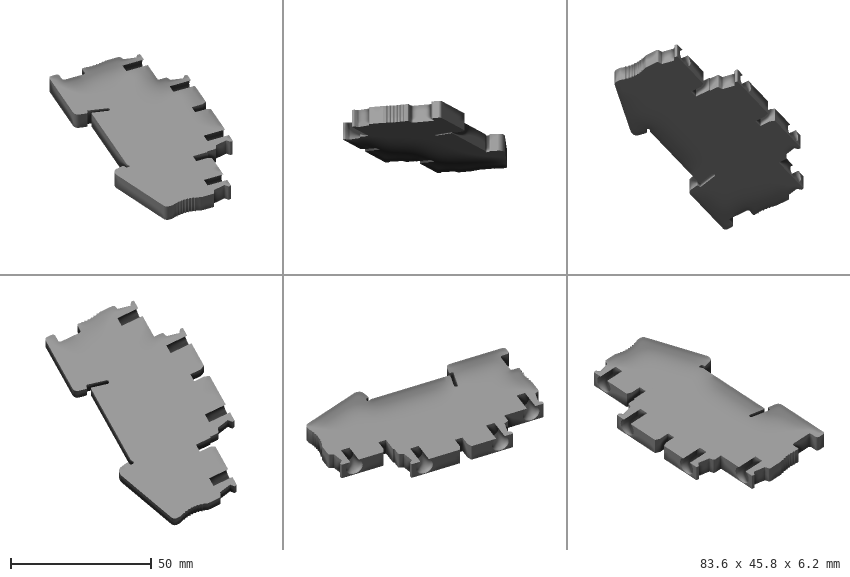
import cadquery as cq
import math

length = 83.6
height = 45.8
thickness = 6.2

lower_deck_y = 35.1
upper_left_x = 17.4
upper_right_x = 61.0
clip_rise = 7.3
lower_shoulder_y = lower_deck_y - clip_rise
upper_shoulder_y = height - clip_rise

clip_profile = [(0, 0), (1.8, 0.7), (2.85, 5.2), (1.5, 6.3), (1.7, clip_rise)]
clip_tip_radius = 0.25
clip_shoulder_radius = 0.75

marker_width = 3.0
marker_depth = 5.85
marker_lead_in = 0.75
marker_lead_in_depth = 1.75
upper_marker_x = 36.3
lower_marker_x = 61.45

foot_height = 3.9
notch_x = 3.85
notch_top_y = 12.8
foot_radius = 1.0
notch_lower_radius = 0.8
notch_upper_radius = 0.7
notch_lip_radius = 0.4

seat_y = 5.85
seat_edge_radius = 0.3
seat_end_x = 56.0
left_hook_x = 24.25
right_hook_x = 56.35
hook_lip_y = 4.6
hook_lip_rise = 0.3
hook_nose_y = 4.0
hook_nose_lean = 0.8
hook_nose_radius = 1.9
undercut_x = 57.7
undercut_y = 6.6
undercut_radius = 0.4

slot_angle = math.radians(13.5)
slot_left_x = 22.9
slot_bottom_y = 5.0
slot_right_x = 24.6
slot_top_y = 12.0
slot_end_rise = 0.75

slope_start_x = 59.6
slope_angle = math.radians(20.5)
slope_start_radius = 0.8
slope_end_radius = 1.8

left_grip_radius = 18.4
left_grip_depth = 0.8
left_grip_y = 16.8
left_rib_count = 6
left_rib_pitch = 1.25
left_rib_start_y = 14.7
right_grip_radius = 12.9
right_grip_depth = 1.25
right_grip_y = 17.1
right_grip_blend = 1.7
right_rib_count = 7
right_rib_pitch = 1.2
right_rib_start_y = 13.6
rib_width = 0.6
rib_height = 0.3

groove_radius = 3.1
groove_mouth = 3.35
groove_flat = 0.4
groove_length = 8.4
short_groove_length = 7.6
lower_left_groove_x = 6.7
upper_left_groove_x = 24.1
upper_right_groove_x = 54.2
lower_right_groove_x = 76.8


def left_clip(shoulder_x, shoulder_y):
    """Latch recess on a left end, from shoulder up to deck."""
    return [(shoulder_x + dx, shoulder_y + dy) for dx, dy in clip_profile]


def right_clip(shoulder_x, shoulder_y):
    """Latch recess on a right end, from deck down to shoulder."""
    return [(shoulder_x - dx, shoulder_y + dy) for dx, dy in reversed(clip_profile)]


def lead_in(wall_x, deck_y, side):
    """Bevel at a marker slot mouth: deck point, then wall point; side is -1 for left, +1 for right."""
    return [
        (wall_x + side * marker_lead_in, deck_y),
        (wall_x, deck_y - marker_lead_in_depth),
    ]


def along_slot(x, y, new_y):
    """X reached at new_y on a line through (x, y) parallel to the spring slot."""
    return x + (new_y - y) * math.tan(slot_angle)


def slope_y(x):
    return (x - slope_start_x) * math.tan(slope_angle)


def make_body():
    slot_upper_left = (along_slot(slot_left_x, slot_bottom_y, slot_top_y), slot_top_y)
    slot_upper_right = (along_slot(slot_right_x, seat_y, slot_top_y), slot_top_y)
    slot_end = (
        (slot_upper_left[0] + slot_upper_right[0]) / 2,
        slot_top_y + slot_end_rise,
    )
    upper_marker_right = upper_marker_x + marker_width
    lower_marker_right = lower_marker_x + marker_width
    upper_points = (
        [(0, foot_height), (notch_x, foot_height), (notch_x, notch_top_y), (0, notch_top_y)]
        + left_clip(0, lower_shoulder_y)
        + [(upper_left_x, lower_deck_y)]
        + left_clip(upper_left_x, upper_shoulder_y)
        + lead_in(upper_marker_x, height, -1)
        + [(upper_marker_x, height - marker_depth), (upper_marker_right, height - marker_depth)]
        + lead_in(upper_marker_right, height, 1)[::-1]
        + right_clip(upper_right_x, upper_shoulder_y)
        + [(upper_right_x, lower_deck_y), (lower_marker_x, lower_deck_y)]
        + [(lower_marker_x, lower_deck_y - marker_depth)]
        + [(lower_marker_right, lower_deck_y - marker_depth)]
        + lead_in(lower_marker_right, lower_deck_y, 1)[::-1]
        + right_clip(length, lower_shoulder_y)
        + [(length, slope_y(length)), (slope_start_x, 0)]
    )
    outline = cq.Workplane("XY").moveTo(0, 0)
    for point in upper_points:
        outline = outline.lineTo(*point)
    outline = (
        outline.lineTo(right_hook_x + hook_nose_lean, 0)
        .lineTo(right_hook_x, hook_nose_y)
        .lineTo(right_hook_x, hook_lip_y)
        .lineTo(undercut_x, hook_lip_y + hook_lip_rise)
        .lineTo(undercut_x, undercut_y)
        .lineTo(seat_end_x, seat_y)
        .lineTo(slot_right_x, seat_y)
        .lineTo(*slot_upper_right)
        .threePointArc(slot_end, slot_upper_left)
        .lineTo(slot_left_x, slot_bottom_y)
        .lineTo(left_hook_x, hook_lip_y)
        .lineTo(left_hook_x, hook_nose_y)
        .lineTo(left_hook_x - hook_nose_lean, 0)
        .close()
    )
    return outline.extrude(thickness)


def round_corner(body, x, y, radius):
    """Round the upright edge of the plate nearest to (x, y)."""
    corner = cq.selectors.NearestToPointSelector((x, y, thickness / 2))
    return body.edges("|Z").edges(corner).fillet(radius)


def grip_cutter(center_x, center_y, radius):
    return cq.Workplane("XY").center(center_x, center_y).circle(radius).extrude(thickness)


def grip_ribs(center_x, center_y, radius, side, start_y, pitch, count):
    """Triangular ribs on a grip arc, pointing at its center; side is +1 (left end) or -1 (right end)."""
    ribs = cq.Workplane("XY")
    inner = radius - rib_height
    half_angle = rib_width / 2 / radius
    for index in range(count):
        angle = math.asin((start_y + index * pitch - center_y) / radius)
        corners = []
        for turn, reach in ((-half_angle, radius), (0, inner), (half_angle, radius)):
            corners.append((
                center_x + side * reach * math.cos(angle + turn),
                center_y + reach * math.sin(angle + turn),
            ))
        root_x = center_x + side * (radius + rib_height) * math.cos(angle)
        root_y = center_y + (radius + rib_height) * math.sin(angle)
        corners.append((root_x, root_y))
        ribs = ribs.add(cq.Workplane("XY").polyline(corners).close().extrude(thickness))
    return ribs.combine()


def make_groove(center_x, deck_y, run):
    """Rounded bore along Y whose top breaks out through the top face as a narrow mouth."""
    half_mouth_on_arc = (groove_mouth - groove_flat) / 2
    axis_z = thickness - math.sqrt(groove_radius**2 - half_mouth_on_arc**2)
    bore_length = 2 * groove_radius + groove_flat
    return (
        cq.Workplane("XZ", origin=(center_x, deck_y, axis_z))
        .slot2D(bore_length, 2 * groove_radius)
        .extrude(run)
    )


body = make_body()

for x, y, radius in (
    (0, 0, foot_radius),
    (0, foot_height, foot_radius),
    (notch_x, foot_height, notch_lower_radius),
    (notch_x, notch_top_y, notch_upper_radius),
    (slot_right_x, seat_y, seat_edge_radius),
    (undercut_x, undercut_y, undercut_radius),
    (left_hook_x - hook_nose_lean, 0, hook_nose_radius),
    (right_hook_x + hook_nose_lean, 0, hook_nose_radius),
    (slope_start_x, 0, slope_start_radius),
    (length, slope_y(length), slope_end_radius),
):
    body = round_corner(body, x, y, radius)

for corners in (
    left_clip(0, lower_shoulder_y),
    left_clip(upper_left_x, upper_shoulder_y),
    right_clip(upper_right_x, upper_shoulder_y)[::-1],
    right_clip(length, lower_shoulder_y)[::-1],
):
    shoulder, *_, tip_bottom, tip_top = corners
    body = round_corner(body, *shoulder, clip_shoulder_radius)
    for tip in (tip_bottom, tip_top):
        body = round_corner(body, *tip, clip_tip_radius)

left_grip_x = left_grip_depth - left_grip_radius
right_grip_x = length - right_grip_depth + right_grip_radius
body = body.cut(grip_cutter(left_grip_x, left_grip_y, left_grip_radius))
body = body.cut(grip_cutter(right_grip_x, right_grip_y, right_grip_radius))
left_grip_end_x = left_grip_x + math.sqrt(left_grip_radius**2 - (left_grip_y - notch_top_y) ** 2)
body = round_corner(body, left_grip_end_x, notch_top_y, notch_lip_radius)
right_grip_half = math.sqrt(right_grip_radius**2 - (right_grip_radius - right_grip_depth)**2)
for end in (-1, 1):
    body = round_corner(body, length, right_grip_y + end * right_grip_half, right_grip_blend)
body = body.union(grip_ribs(
    left_grip_x, left_grip_y, left_grip_radius, 1, left_rib_start_y, left_rib_pitch, left_rib_count))
body = body.union(grip_ribs(
    right_grip_x, right_grip_y, right_grip_radius, -1, right_rib_start_y, right_rib_pitch, right_rib_count))

for x, deck_y, run in (
    (lower_left_groove_x, lower_deck_y, groove_length),
    (upper_left_groove_x, height, groove_length),
    (upper_right_groove_x, height, groove_length),
    (lower_right_groove_x, lower_deck_y, short_groove_length),
):
    body = body.cut(make_groove(x, deck_y, run))

result = body